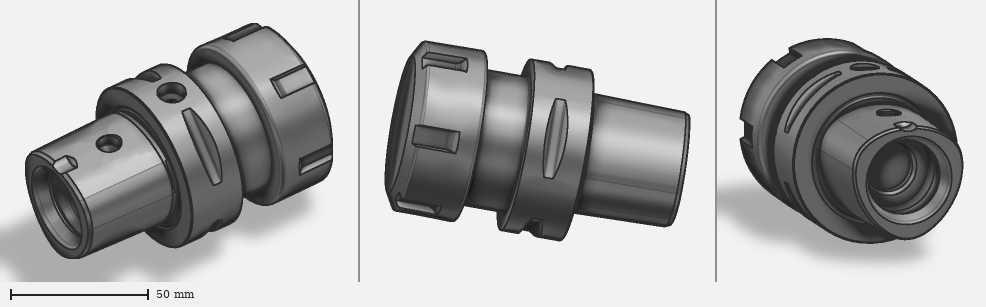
import cadquery as cq
import math

SHANK_CHAMFER_LENGTH = 1.6
TAPER_LENGTH = 35.9
FLANGE_START = 37.9
FLANGE_END = 60.0
NUT_START = 77.2
NUT_END = 103.0
NECK_END = 92.7

SHANK_MEAN_RADIUS = 21.9
LOBE_HEIGHT = 1.2
TAPER_PER_LENGTH = 1 / 40
SHANK_CHAMFER_DEPTH = 0.7
SHANK_RELIEF_DEPTH = 0.1
LOBE_HALF_ANGLE = 25.5
LOBE_COUNT = 3
LOBE_SPACING = 360 / LOBE_COUNT
FIRST_LOBE_ANGLE = -90
POINTS_PER_FACE = 9

MOUTH_RADIUS = 16.4
CONE_RADIUS = 15.5
LIP_RADIUS = 13.7
CLAMP_GROOVE_RADIUS = 15.8
BORE_RADIUS = 14.4
PILOT_MOUTH_RADIUS = 10.2
PILOT_RADIUS = 9.0
MOUTH_CHAMFER_LENGTH = 1.5
CONE_END = 5.7
LIP_END = 6.7
CLAMP_GROOVE_START = 8.2
CLAMP_GROOVE_END = 11.1
CLAMP_RUNOUT_RADIUS = 15.5
CLAMP_RUNOUT_START = 12.4
CLAMP_RUNOUT_END = 14.1
BORE_DEPTH = 21.4
PILOT_DEPTH = 25.8

FLANGE_RADIUS = 31.5
FLANGE_CHAMFER = 0.4
NECK_RADIUS = 24.9
NECK_FILLET = 0.9
RELIEF_RING_RADIUS = 23.4
RELIEF_RING_Y = 37.6
RELIEF_TUBE_RADIUS = 1.0

GRIPPER_Y = 50.1
GRIPPER_FLOOR_DISTANCE = 27.9
GRIPPER_FLOOR_HALF_WIDTH = 1.8
GRIPPER_FLANK_ANGLE = 30
GRIPPER_FILLET = 0.6
GRIPPER_ANGLES = (45, 135, 225, 315)

FLANGE_HOLE_RADIUS = 5.3
FLANGE_HOLE_FLOOR_Z = 26.0
COOLANT_HOLE_RADIUS = 2.2
COOLANT_HOLE_DEPTH = 2.1

SHANK_HOLE_Y = 22.8
SHANK_HOLE_RADIUS = 4.2
SHANK_HOLE_COUNTERSINK_Z = 19.9
SHANK_HOLE_SHOULDER_Z = 15.7
DRILL_HALF_ANGLE = 70

NOTCH_RADIUS = 5.2
NOTCH_FLOOR_Z = 18.2
NOTCH_LENGTH = 6.6
NOTCH_POINT_HALF_ANGLE = 53

NUT_BASE_RADIUS = 31.5
NUT_RIM_RADIUS = 31.2
NUT_FACE_RADIUS = 25.3
NUT_CONE_ANGLE = 60
NUT_BASE_FILLET = 1.3
NUT_RIM_FILLET = 1.2

SLOT_COUNT = 6
SLOT_FLOOR_DISTANCE = 28.5
SLOT_FLOOR_HALF_WIDTH = 3.4
SLOT_WALL_ANGLE = 13
SLOT_RAMP_ANGLE = 45
SLOT_FLOOR_START = 88.9
SLOT_RAMP_RADIUS = 2.8

CLEARANCE = 5.2


def tangent(degrees):
    return math.tan(math.radians(degrees))


def about_y(profile):
    """Revolve a closed (radius, y) profile about the Y axis."""
    return profile.revolve(360, (0, 0, 0), (0, 1, 0))


def polygon_edge(mean_radius, y, lobe_angle, start, end):
    """One lobe or flank of the polygon, between two normal angles counted from a lobe tip."""
    points = []
    for i in range(POINTS_PER_FACE):
        normal = math.radians(start + (end - start) * i / (POINTS_PER_FACE - 1))
        support = mean_radius + LOBE_HEIGHT * math.cos(LOBE_COUNT * normal)
        slope = -LOBE_COUNT * LOBE_HEIGHT * math.sin(LOBE_COUNT * normal)
        turn = normal + math.radians(lobe_angle)
        x = support * math.cos(turn) - slope * math.sin(turn)
        z = support * math.sin(turn) + slope * math.cos(turn)
        points.append(cq.Vector(x, y, z))
    tangents = []
    for normal in (start, end):
        turn = math.radians(normal + lobe_angle)
        tangents.append(cq.Vector(-math.sin(turn), 0, math.cos(turn)))
    return cq.Edge.makeSpline(points, tangents=tangents)


def polygon_wire(mean_radius, y):
    edges = []
    flank_end = LOBE_SPACING - LOBE_HALF_ANGLE
    for index in range(LOBE_COUNT):
        lobe_angle = FIRST_LOBE_ANGLE + index * LOBE_SPACING
        edges.append(polygon_edge(mean_radius, y, lobe_angle, -LOBE_HALF_ANGLE, LOBE_HALF_ANGLE))
        edges.append(polygon_edge(mean_radius, y, lobe_angle, LOBE_HALF_ANGLE, flank_end))
    return cq.Wire.assembleEdges(edges)


def polygon_section(start_radius, start_y, end_radius, end_y):
    wires = [polygon_wire(start_radius, start_y), polygon_wire(end_radius, end_y)]
    return cq.Workplane(cq.Solid.makeLoft(wires, True))


def shank():
    chamfer_radius = SHANK_MEAN_RADIUS - TAPER_PER_LENGTH * (TAPER_LENGTH - SHANK_CHAMFER_LENGTH)
    end_radius = chamfer_radius - SHANK_CHAMFER_DEPTH
    relief_radius = SHANK_MEAN_RADIUS - SHANK_RELIEF_DEPTH
    chamfer = polygon_section(end_radius, 0, chamfer_radius, SHANK_CHAMFER_LENGTH)
    taper = polygon_section(chamfer_radius, SHANK_CHAMFER_LENGTH, SHANK_MEAN_RADIUS, TAPER_LENGTH)
    relief = polygon_section(relief_radius, TAPER_LENGTH, relief_radius, FLANGE_START)
    return taper.union(chamfer).union(relief)


def flange_and_neck():
    fillet_middle = NECK_FILLET * (1 - math.sqrt(0.5))
    return about_y(
        cq.Workplane("XY")
        .moveTo(0, FLANGE_START)
        .lineTo(FLANGE_RADIUS - FLANGE_CHAMFER, FLANGE_START)
        .lineTo(FLANGE_RADIUS, FLANGE_START + FLANGE_CHAMFER)
        .lineTo(FLANGE_RADIUS, FLANGE_END)
        .lineTo(NECK_RADIUS + NECK_FILLET, FLANGE_END)
        .threePointArc(
            (NECK_RADIUS + fillet_middle, FLANGE_END + fillet_middle),
            (NECK_RADIUS, FLANGE_END + NECK_FILLET),
        )
        .lineTo(NECK_RADIUS, NECK_END)
        .lineTo(0, NECK_END)
        .close()
    )


def relief_ring():
    """Round-bottomed ring groove in the flange face that also clips the lobe roots."""
    center = cq.Vector(0, RELIEF_RING_Y, 0)
    axis = cq.Vector(0, 1, 0)
    return cq.Workplane(cq.Solid.makeTorus(RELIEF_RING_RADIUS, RELIEF_TUBE_RADIUS, center, axis))


def shank_bore():
    """Mouth cone, lip, clamping groove, bore and stepped blind end."""
    pilot_chamfer = PILOT_MOUTH_RADIUS - PILOT_RADIUS
    return about_y(
        cq.Workplane("XY")
        .lineTo(MOUTH_RADIUS, 0)
        .lineTo(CONE_RADIUS, MOUTH_CHAMFER_LENGTH)
        .lineTo(LIP_RADIUS, CONE_END)
        .lineTo(LIP_RADIUS, LIP_END)
        .lineTo(CLAMP_GROOVE_RADIUS, CLAMP_GROOVE_START)
        .lineTo(CLAMP_GROOVE_RADIUS, CLAMP_GROOVE_END)
        .tangentArcPoint((CLAMP_RUNOUT_RADIUS, CLAMP_RUNOUT_START), relative=False)
        .lineTo(BORE_RADIUS, CLAMP_RUNOUT_END)
        .lineTo(BORE_RADIUS, BORE_DEPTH)
        .lineTo(PILOT_MOUTH_RADIUS, BORE_DEPTH)
        .lineTo(PILOT_RADIUS, BORE_DEPTH + pilot_chamfer)
        .lineTo(PILOT_RADIUS, PILOT_DEPTH)
        .lineTo(0, PILOT_DEPTH)
        .close()
    )


def drilled_hole(radius, y, top_z, shoulder_z):
    """Blind hole drilled down from top_z, with a conical bottom below its shoulder."""
    tip_z = shoulder_z - radius / tangent(DRILL_HALF_ANGLE)
    profile = cq.Workplane("XZ", origin=(0, y, 0)).polyline([
        (0, tip_z), (radius, shoulder_z), (radius, top_z), (0, top_z),
    ])
    return profile.close().revolve(360, (0, 0, 0), (0, 1, 0))


def flange_hole():
    top_z = FLANGE_RADIUS + CLEARANCE
    counterbore = (
        cq.Workplane("XY", origin=(0, GRIPPER_Y, FLANGE_HOLE_FLOOR_Z))
        .circle(FLANGE_HOLE_RADIUS).extrude(top_z - FLANGE_HOLE_FLOOR_Z)
    )
    coolant = drilled_hole(
        COOLANT_HOLE_RADIUS, GRIPPER_Y, top_z, FLANGE_HOLE_FLOOR_Z - COOLANT_HOLE_DEPTH)
    return counterbore.union(coolant)


def shank_hole():
    """Blind hole in the upper flank of the shank, with a 45 degree countersink."""
    top_z = SHANK_MEAN_RADIUS
    hole = drilled_hole(SHANK_HOLE_RADIUS, SHANK_HOLE_Y, top_z, SHANK_HOLE_SHOULDER_Z)
    sink_depth = top_z - SHANK_HOLE_COUNTERSINK_Z
    countersink = cq.Solid.makeCone(
        SHANK_HOLE_RADIUS,
        SHANK_HOLE_RADIUS + sink_depth,
        sink_depth,
        cq.Vector(0, SHANK_HOLE_Y, SHANK_HOLE_COUNTERSINK_Z),
        cq.Vector(0, 0, 1),
    )
    return hole.union(cq.Workplane(countersink))


def notch():
    """Round channel along the shank end, left by a drill with a conical point."""
    tip_y = NOTCH_LENGTH + NOTCH_RADIUS / tangent(NOTCH_POINT_HALF_ANGLE)
    profile = cq.Workplane("XY", origin=(0, 0, NOTCH_FLOOR_Z + NOTCH_RADIUS)).polyline([
        (0, -CLEARANCE), (NOTCH_RADIUS, -CLEARANCE), (NOTCH_RADIUS, NOTCH_LENGTH), (0, tip_y),
    ])
    return about_y(profile.close())


def gripper_groove(angle):
    """Straight V groove with a flat floor across the flange rim."""
    outer = FLANGE_RADIUS + CLEARANCE
    rise = outer - GRIPPER_FLOOR_DISTANCE
    outer_half_width = GRIPPER_FLOOR_HALF_WIDTH + rise * tangent(GRIPPER_FLANK_ANGLE)
    groove = (
        cq.Workplane("XY", origin=(0, GRIPPER_Y, 0))
        .polyline([
            (GRIPPER_FLOOR_DISTANCE, -GRIPPER_FLOOR_HALF_WIDTH),
            (outer, -outer_half_width),
            (outer, outer_half_width),
            (GRIPPER_FLOOR_DISTANCE, GRIPPER_FLOOR_HALF_WIDTH),
        ]).close()
        .extrude(FLANGE_RADIUS, both=True)
        .edges("|Z and <X").fillet(GRIPPER_FILLET)
    )
    return groove.rotate((0, 0, 0), (0, 1, 0), angle)


def make_holder():
    body = shank().union(flange_and_neck())
    for cutter in (relief_ring(), shank_bore(), flange_hole(), shank_hole(), notch()):
        body = body.cut(cutter)
    for angle in GRIPPER_ANGLES:
        body = body.cut(gripper_groove(angle))
    return body


def nut_blank():
    rim_y = NUT_END - (NUT_RIM_RADIUS - NUT_FACE_RADIUS) / tangent(NUT_CONE_ANGLE)
    blank = about_y(
        cq.Workplane("XY").polyline([
            (0, NECK_END),
            (NECK_RADIUS, NECK_END),
            (NECK_RADIUS, NUT_START),
            (NUT_BASE_RADIUS, NUT_START),
            (NUT_RIM_RADIUS, rim_y),
            (NUT_FACE_RADIUS, NUT_END),
            (0, NUT_END),
        ]).close()
    )
    base_edge = blank.faces("<Y").edges("%CIRCLE").edges(cq.selectors.RadiusNthSelector(-1))
    blank = base_edge.fillet(NUT_BASE_FILLET)
    rim_edge = blank.edges(cq.selectors.NearestToPointSelector((0, rim_y, 0)))
    return rim_edge.fillet(NUT_RIM_FILLET)


def spanner_slot(index):
    """Slot with a flat floor, flared side walls and a ramp rising out of the floor."""
    outer = NUT_BASE_RADIUS + CLEARANCE
    slot_end = NUT_END + CLEARANCE
    ramp = math.radians(SLOT_RAMP_ANGLE)
    ramp_rise = SLOT_RAMP_RADIUS * (1 - math.cos(ramp))
    ramp_y = SLOT_FLOOR_START - SLOT_RAMP_RADIUS * math.sin(ramp)
    ramp_foot = (SLOT_FLOOR_DISTANCE + ramp_rise, ramp_y)
    ramp_middle = (
        SLOT_FLOOR_DISTANCE + SLOT_RAMP_RADIUS * (1 - math.cos(ramp / 2)),
        SLOT_FLOOR_START - SLOT_RAMP_RADIUS * math.sin(ramp / 2),
    )
    ramp_top_y = ramp_y - (outer - ramp_foot[0]) / math.tan(ramp)
    side_profile = (
        cq.Workplane("XY")
        .moveTo(SLOT_FLOOR_DISTANCE, slot_end)
        .lineTo(SLOT_FLOOR_DISTANCE, SLOT_FLOOR_START)
        .threePointArc(ramp_middle, ramp_foot)
        .lineTo(outer, ramp_top_y)
        .lineTo(outer, slot_end)
        .close()
        .extrude(NUT_BASE_RADIUS, both=True)
    )
    outer_half_width = SLOT_FLOOR_HALF_WIDTH + (outer - SLOT_FLOOR_DISTANCE) * tangent(SLOT_WALL_ANGLE)
    wall_wedge = (
        cq.Workplane("XZ", origin=(0, slot_end, 0))
        .polyline([
            (SLOT_FLOOR_DISTANCE, -SLOT_FLOOR_HALF_WIDTH),
            (outer, -outer_half_width),
            (outer, outer_half_width),
            (SLOT_FLOOR_DISTANCE, SLOT_FLOOR_HALF_WIDTH),
        ]).close()
        .extrude(slot_end - ramp_top_y)
    )
    return side_profile.intersect(wall_wedge).rotate((0, 0, 0), (0, 1, 0), index * 360 / SLOT_COUNT)


def make_nut():
    nut = nut_blank()
    for index in range(SLOT_COUNT):
        nut = nut.cut(spanner_slot(index))
    return nut


holder = make_holder()
nut = make_nut()

result = cq.Compound.makeCompound([holder.solids().val(), nut.solids().val()])